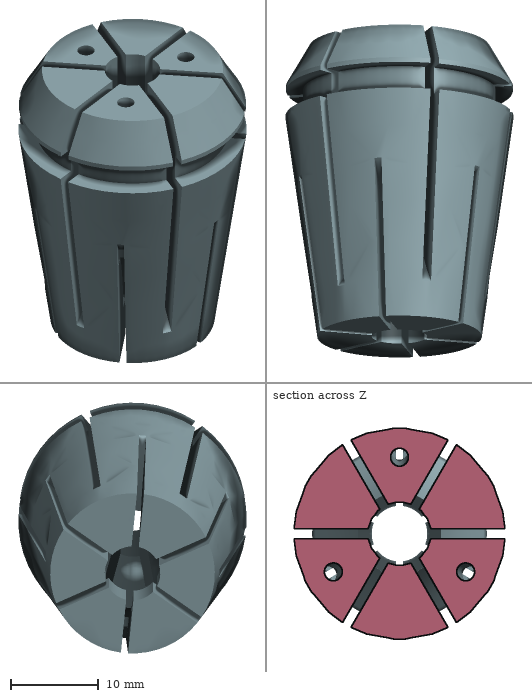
import cadquery as cq
import math

height = 34.0
rim_diameter = 26.0
rim_radius = rim_diameter / 2
cone_height = 25.87
cone_half_angle = 8.0
groove_radius = 11.0
groove_width = 3.05
nose_rim_radius = 12.92
nose_rim_height = 0.55
nose_half_angle = 30.0

bore_radius = 3.15
chamber_taper = 10.0
chamber_taper_top = 21.35
chamber_floor = 5.25

slots_per_end = 6
slot_pitch = 360.0 / slots_per_end
top_slot_width = 1.05
top_slot_outer_end = 4.05
top_slot_inner_end = 12.48
top_saw_radius = 25.5
bottom_slot_width = 0.8
bottom_slot_outer_end = 18.0
bottom_slot_inner_end = 6.9
bottom_saw_radius = 20.0
overrun = 1.7
slot_reach = rim_radius + overrun

hole_count = 3
hole_radius = 1.0
hole_circle_radius = 6.6
hole_depth = 20.4


def cone_radius(z):
    """Radius of the clamping cone at height z."""
    return rim_radius - (cone_height - z) * math.tan(math.radians(cone_half_angle))


def chamber_radius(z):
    """Radius of the tapered chamber wall at height z."""
    return bore_radius + (chamber_taper_top - z) * math.tan(math.radians(chamber_taper))


def revolve_profile(points):
    return cq.Workplane("XZ").polyline(points).close().revolve(360, (0, 0), (0, 1))


def make_body():
    nose_bottom = cone_height + groove_width
    nose_rim_top = nose_bottom + nose_rim_height
    nose_taper = (height - nose_rim_top) * math.tan(math.radians(nose_half_angle))
    return revolve_profile([
        (0, 0),
        (cone_radius(0), 0),
        (rim_radius, cone_height),
        (groove_radius, cone_height),
        (groove_radius, nose_bottom),
        (nose_rim_radius, nose_bottom),
        (nose_rim_radius, nose_rim_top),
        (nose_rim_radius - nose_taper, height),
        (0, height),
    ])


def make_bore():
    wall_radius = chamber_radius(chamber_floor)
    floor_drop = (wall_radius - bore_radius) * math.tan(math.radians(chamber_taper))
    return revolve_profile([
        (0, -overrun),
        (bore_radius, -overrun),
        (bore_radius, chamber_floor - floor_drop),
        (wall_radius, chamber_floor),
        (bore_radius, chamber_taper_top),
        (bore_radius, height + overrun),
        (0, height + overrun),
    ])


def saw_arc_middle(start, end, saw_radius, open_side):
    """Middle point of the saw's arc; open_side is +1 for a slot open upwards, -1 downwards."""
    run = end[0] - start[0]
    rise = end[1] - start[1]
    half_chord = math.hypot(run, rise) / 2
    sagitta = saw_radius - math.sqrt(saw_radius**2 - half_chord**2)
    shift = sagitta / (2 * half_chord)
    return (
        (start[0] + end[0]) / 2 - abs(rise) * shift,
        (start[1] + end[1]) / 2 - open_side * abs(run) * shift,
    )


def make_slots(width, saw_radius, outer_end, inner_end, open_end, open_side, first_angle):
    inner = (chamber_radius(inner_end), inner_end)
    outer = (cone_radius(outer_end), outer_end)
    slot = (
        cq.Workplane("XZ")
        .moveTo(0, open_end)
        .lineTo(0, inner_end)
        .lineTo(*inner)
        .threePointArc(saw_arc_middle(inner, outer, saw_radius, open_side), outer)
        .lineTo(slot_reach, outer_end)
        .lineTo(slot_reach, open_end)
        .close()
        .extrude(width / 2, both=True)
    )
    slots = cq.Workplane()
    for i in range(slots_per_end):
        slots = slots.add(slot.rotate((0, 0, 0), (0, 0, 1), first_angle + i * slot_pitch))
    return slots.combine()


def make_holes():
    hole = (
        cq.Workplane("XY")
        .circle(hole_radius)
        .extrude(hole_depth + overrun)
        .translate((0, 0, -hole_depth))
        .rotate((0, 0, 0), (1, 0, 0), cone_half_angle)
        .translate((0, hole_circle_radius, height))
    )
    holes = cq.Workplane()
    for i in range(hole_count):
        holes = holes.add(hole.rotate((0, 0, 0), (0, 0, 1), i * 360.0 / hole_count))
    return holes.combine()


top_slots = make_slots(
    width=top_slot_width,
    saw_radius=top_saw_radius,
    outer_end=top_slot_outer_end,
    inner_end=top_slot_inner_end,
    open_end=height + overrun,
    open_side=1,
    first_angle=0,
)
bottom_slots = make_slots(
    width=bottom_slot_width,
    saw_radius=bottom_saw_radius,
    outer_end=bottom_slot_outer_end,
    inner_end=bottom_slot_inner_end,
    open_end=-overrun,
    open_side=-1,
    first_angle=slot_pitch / 2,
)

result = make_body().cut(make_bore()).cut(top_slots).cut(bottom_slots).cut(make_holes())